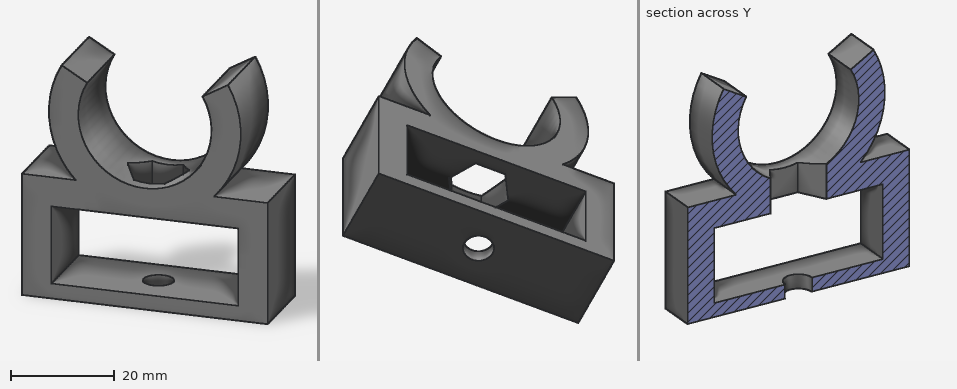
import cadquery as cq
import math

width = 50.0
depth = 16.5
frame_height = 25.0
side_wall = 6.0
floor_thickness = 3.1
roof_thickness = 6.0
window_top_z = frame_height - roof_thickness

bore_radius = 13.55
ring_wall = 6.0
ring_radius = bore_radius + ring_wall
tip_angle = 30.0
ring_center_z = frame_height + bore_radius

bolt_diameter = 6.0
hex_across_corners = 12.6


def cylinder_along_y(radius):
    """Cylinder on the clip axis, spanning the full depth."""
    return (
        cq.Workplane("XZ")
        .center(0, ring_center_z)
        .circle(radius)
        .extrude(depth / 2, both=True)
    )


def make_frame():
    return cq.Workplane("XY").box(width, depth, frame_height, centered=(True, True, False))


def make_window():
    window_height = window_top_z - floor_thickness
    return (
        cq.Workplane("XY")
        .workplane(offset=floor_thickness)
        .box(width - 2 * side_wall, depth, window_height, centered=(True, True, False))
    )


def make_clip_opening():
    """Wedge from the ring axis upward that leaves radial clip tips."""
    reach = 2 * ring_radius
    tip_x = reach * math.cos(math.radians(tip_angle))
    tip_z = reach * math.sin(math.radians(tip_angle))
    return (
        cq.Workplane("XZ")
        .center(0, ring_center_z)
        .polyline([(0, 0), (tip_x, tip_z), (0, reach), (-tip_x, tip_z)])
        .close()
        .extrude(depth / 2, both=True)
    )


def make_bolt_hole():
    return cq.Workplane("XY").circle(bolt_diameter / 2).extrude(floor_thickness)


def make_hex_hole():
    return (
        cq.Workplane("XY")
        .workplane(offset=window_top_z)
        .polygon(6, hex_across_corners)
        .extrude(ring_center_z - window_top_z)
    )


clip = cylinder_along_y(ring_radius).cut(make_clip_opening())
result = (
    make_frame()
    .union(clip)
    .cut(cylinder_along_y(bore_radius))
    .cut(make_window())
    .cut(make_bolt_hole())
    .cut(make_hex_hole())
)